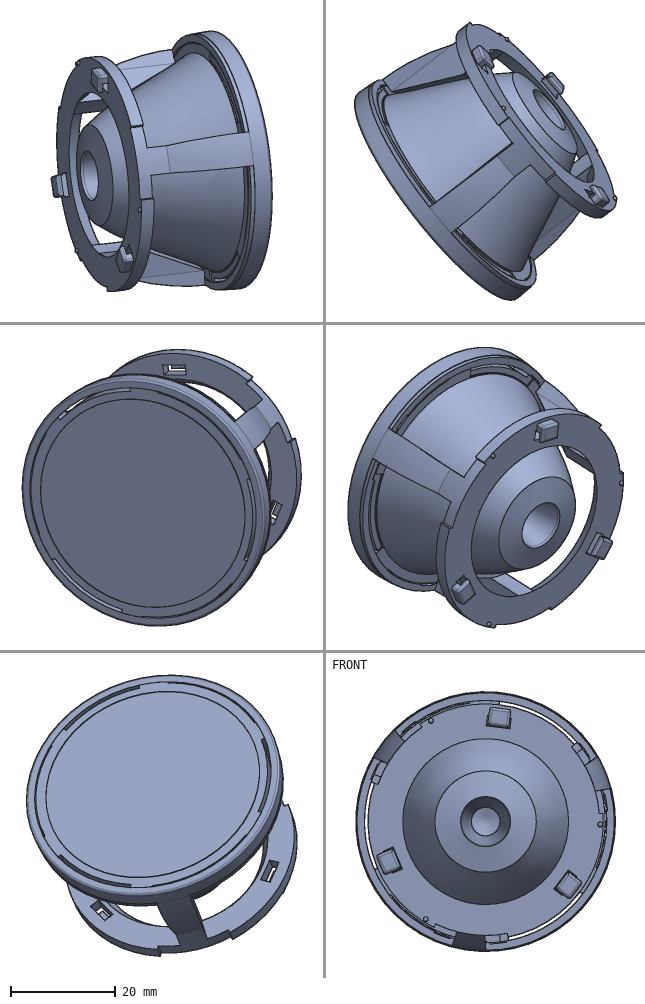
import cadquery as cq
import math


COPIES = 3
PITCH = 360 / COPIES
RIB_ANGLE = 22.5
RING_FRONT = 23.7
RING_BACK = 28.05
RING_INNER_R = 23.2

RING_R = 24.9
RING_FRONT_R = 24.75
RING_LAND_R = 24.65
RING_LAND_BACK = 24.5
RING_FILLET = 0.4
POCKET_R = 23.45
POCKET_START = 9.5
POCKET_END = 17.4

PLATE_FRONT = 2.0
PLATE_BACK = 4.55
PLATE_R = 22.55
PLATE_BORE_R = 15.9
PLATE_BORE_BACK_R = 17.35
NOTCH_HALF_ANGLE = 18.5

RIB_R = 21.8
RIB_HALF_ANGLE = 7.0
GUSSET_HALF_ANGLE = 7.7
GUSSET_FRONT = 8.45
RIB_TAPER_FRONT = 10.2

HOOK_ANGLE = RIB_ANGLE + 60.0
HOOK_WIDTH = 4.1
HOOK_INNER_R = 18.35
HOOK_STEM_INNER_R = 20.2
HOOK_OUTER_R = 21.85
HOOK_FRONT = 0.05
HOOK_CAP_BACK = 1.0
HOOK_FILLET = 0.5
WINDOW_WIDTH = 4.6
WINDOW_INNER_R = 18.2

NUB_DIAMETER = 0.95
NUB_ANGLE = -1.5
NUB_CENTRE_R = 21.95

LENS_BACK = 28.2
LENS_FACE_R = 20.95
FLANGE_R = 22.95
LENS_NECK_R = 21.1
SHOULDER_R = 9.7
SHOULDER_Y = 1.1
WELL_R = 4.8
WELL_LIP_R = 4.65
WELL_LIP_DEPTH = 0.55
WELL_BOTTOM_R = 2.75
WELL_DEPTH = 8.95
WELL_TIP = 0.75
REFLECTOR_POINTS = [(13.05, 6.45), (15.8, 12.2)]
RELIEF_R = 22.5
RELIEF_STEP_R = 21.3
RELIEF_DEPTH = 0.3
RELIEF_START = RIB_ANGLE + 14.5
RELIEF_CUT_START = RIB_ANGLE + NOTCH_HALF_ANGLE
RELIEF_END = 83.3
KEY_END = 97.5
SHORT_KEY_START = RIB_ANGLE + GUSSET_HALF_ANGLE

OVERCUT = 0.5


def polar(radius, angle):
    return radius * math.cos(math.radians(angle)), radius * math.sin(math.radians(angle))


def revolve(profile):
    """Revolve a closed (radius, Y) profile about the Y axis."""
    return profile.close().revolve(360, (0, 0), (0, 1))


def ring_sector(inner_r, outer_r, start, end, front, back):
    """Arc-shaped block between two radii, two angles and two Y levels."""
    middle = (start + end) / 2
    return (
        cq.Workplane("XZ", origin=(0, front, 0))
        .moveTo(*polar(inner_r, start))
        .lineTo(*polar(outer_r, start))
        .threePointArc(polar(outer_r, middle), polar(outer_r, end))
        .lineTo(*polar(inner_r, end))
        .threePointArc(polar(inner_r, middle), polar(inner_r, start))
        .close()
        .extrude(front - back)
    )


def radial_box(inner_r, outer_r, width, front, back):
    """Box lying along +X between two radii and two Y levels."""
    return cq.Workplane("XY").box(outer_r - inner_r, back - front, width).translate(
        ((inner_r + outer_r) / 2, (front + back) / 2, 0)
    )


def turned(body, angle):
    """Turn a body about the optical axis from +X towards +Z."""
    return body.rotate((0, 0, 0), (0, 1, 0), -angle)


def pattern(body):
    return [turned(body, PITCH * index) for index in range(COPIES)]


def make_ring():
    ring = revolve(
        cq.Workplane("XY")
        .moveTo(RING_INNER_R, RING_FRONT)
        .lineTo(RING_LAND_R, RING_FRONT)
        .lineTo(RING_LAND_R, RING_LAND_BACK)
        .lineTo(RING_FRONT_R, RING_LAND_BACK)
        .lineTo(RING_R, RING_BACK - RING_FILLET)
        .radiusArc((RING_R - RING_FILLET, RING_BACK), -RING_FILLET)
        .lineTo(RING_INNER_R, RING_BACK)
    )
    for side in (-1, 1):
        pocket = ring_sector(
            RING_INNER_R - OVERCUT, POCKET_R,
            RIB_ANGLE + side * POCKET_START, RIB_ANGLE + side * POCKET_END,
            RING_FRONT - OVERCUT, RING_LAND_BACK,
        )
        for copy in pattern(pocket):
            ring = ring.cut(copy)
    return ring


def make_plate():
    plate = revolve(
        cq.Workplane("XY")
        .moveTo(PLATE_BORE_R, PLATE_FRONT)
        .lineTo(PLATE_R, PLATE_FRONT)
        .lineTo(PLATE_R, PLATE_BACK)
        .lineTo(PLATE_BORE_BACK_R, PLATE_BACK)
    )
    notch = ring_sector(
        RIB_R, PLATE_R + OVERCUT,
        RIB_ANGLE - NOTCH_HALF_ANGLE, RIB_ANGLE + NOTCH_HALF_ANGLE,
        PLATE_FRONT - OVERCUT, PLATE_BACK + OVERCUT,
    )
    window = turned(
        radial_box(
            WINDOW_INNER_R, HOOK_STEM_INNER_R, WINDOW_WIDTH,
            PLATE_FRONT - OVERCUT, PLATE_BACK + OVERCUT,
        ),
        HOOK_ANGLE,
    )
    for copy in pattern(notch) + pattern(window):
        plate = plate.cut(copy)
    return plate


def make_rib():
    """Rib with a straight inner part and a gusset that curves out to the ring."""
    rise = RING_FRONT_R - RIB_R
    run = RING_LAND_BACK - GUSSET_FRONT
    gusset_radius = (rise**2 + run**2) / (2 * rise)
    swept = revolve(
        cq.Workplane("XY")
        .moveTo(PLATE_BORE_R, PLATE_FRONT)
        .lineTo(RIB_R, PLATE_FRONT)
        .lineTo(RIB_R, GUSSET_FRONT)
        .radiusArc((RING_FRONT_R, RING_LAND_BACK), -gusset_radius)
        .lineTo(RING_INNER_R, RING_LAND_BACK)
        .lineTo(RING_INNER_R, RING_FRONT)
        .lineTo(RIB_R, RING_FRONT)
        .lineTo(PLATE_BORE_R, RIB_TAPER_FRONT)
    )
    right_side = [polar(RIB_R, -RIB_HALF_ANGLE), polar(RING_R, -GUSSET_HALF_ANGLE)]
    left_side = [(x, -z) for x, z in reversed(right_side)]
    plan = (
        cq.Workplane("XZ")
        .polyline([(0, 0)] + right_side + [(RING_R + OVERCUT, 0)] + left_side)
        .close()
        .extrude(-RING_BACK)
    )
    return turned(swept.intersect(plan), RIB_ANGLE)


def make_hook():
    """Rounded cap carried by a stem at its outer end."""
    hook = radial_box(HOOK_INNER_R, HOOK_OUTER_R, HOOK_WIDTH, HOOK_FRONT, PLATE_FRONT)
    hook = hook.edges("<Y or (>X and |Y)").fillet(HOOK_FILLET)
    undercut = radial_box(
        HOOK_INNER_R - OVERCUT, HOOK_STEM_INNER_R, WINDOW_WIDTH, HOOK_CAP_BACK, PLATE_FRONT + OVERCUT
    )
    return turned(hook.cut(undercut), HOOK_ANGLE)


def make_nub():
    x, z = polar(NUB_CENTRE_R, NUB_ANGLE)
    return cq.Workplane("XY").sphere(NUB_DIAMETER / 2).translate((x, PLATE_FRONT, z))


def make_holder():
    holder = make_ring().union(make_plate())
    for feature in (make_hook(), make_nub(), make_rib()):
        for copy in pattern(feature):
            holder = holder.union(copy, clean=False)
    return holder.clean()


def make_lens_blank():
    """Turned lens with a tapered light-source well in its tip."""
    return revolve(
        cq.Workplane("XY")
        .moveTo(0, WELL_DEPTH + WELL_TIP)
        .lineTo(WELL_BOTTOM_R, WELL_DEPTH)
        .lineTo(WELL_LIP_R, WELL_LIP_DEPTH)
        .lineTo(WELL_R, 0)
        .lineTo(SHOULDER_R, SHOULDER_Y)
        .spline(REFLECTOR_POINTS + [(LENS_NECK_R, RING_FRONT)], includeCurrent=True)
        .lineTo(FLANGE_R, RING_FRONT)
        .lineTo(FLANGE_R, RING_BACK)
        .lineTo(LENS_FACE_R, RING_BACK)
        .lineTo(LENS_FACE_R, LENS_BACK)
        .lineTo(0, LENS_BACK)
    )


def make_lens():
    lens = make_lens_blank()
    long_key = ring_sector(RELIEF_R, RING_INNER_R, RELIEF_END, KEY_END, RING_FRONT, RING_BACK)
    short_key = ring_sector(
        RELIEF_R, RING_INNER_R, SHORT_KEY_START, RELIEF_CUT_START, RING_FRONT, RING_BACK
    )
    for copy in pattern(long_key) + pattern(short_key):
        lens = lens.union(copy)
    step = ring_sector(
        RELIEF_STEP_R, FLANGE_R + OVERCUT, RELIEF_START, RELIEF_END,
        RING_FRONT - OVERCUT, RING_FRONT + RELIEF_DEPTH,
    )
    edge_cut = ring_sector(
        RELIEF_R, FLANGE_R + OVERCUT, RELIEF_CUT_START, RELIEF_END,
        RING_FRONT - OVERCUT, RING_BACK + OVERCUT,
    )
    for copy in pattern(step) + pattern(edge_cut):
        lens = lens.cut(copy)
    return lens


holder = make_holder()
lens = make_lens()
result = cq.Compound.makeCompound([holder.val(), lens.val()])